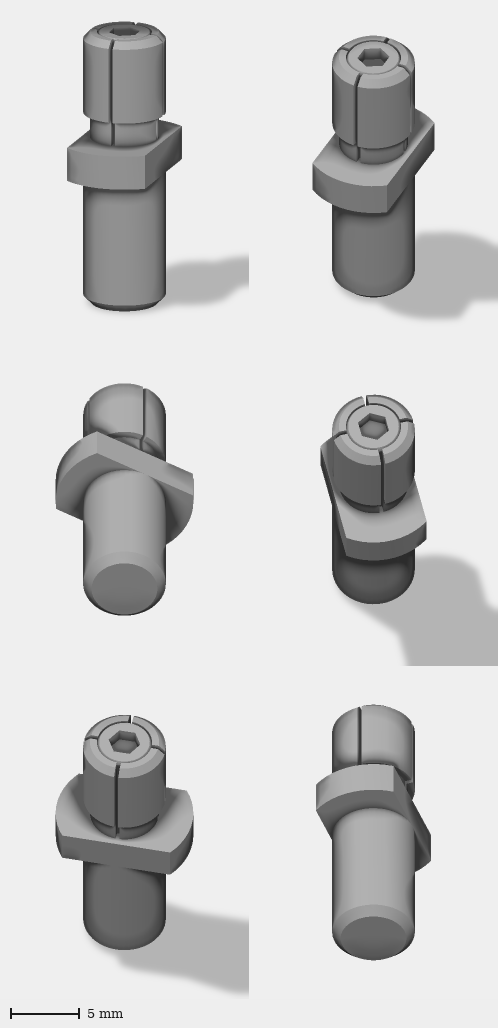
import cadquery as cq
import math

total_height = 20.5
flange_bottom = 10.0
flange_thickness = 2.5
neck_height = 1.9
flange_top = flange_bottom + flange_thickness
head_bottom = flange_top + neck_height

body_diameter = 6.0
neck_diameter = 5.0
flange_diameter = 10.0

head_chamfer = 0.5
shank_chamfer_height = 0.62
shank_chamfer_width = 0.62

slot_width = 0.3
screw_diameter = 4.0
screw_chamfer_height = 0.27
screw_chamfer_width = 0.16
hex_across_flats = 2.03
hex_depth = 1.0


def cylinder(diameter, bottom, top):
    return cq.Workplane("XY").workplane(offset=bottom).circle(diameter / 2).extrude(top - bottom)


def make_shank():
    shank = cylinder(body_diameter, 0, flange_bottom)
    return shank.faces("<Z").chamfer(shank_chamfer_height, shank_chamfer_width)


def make_flange():
    """Disc trimmed by two flats level with the sides of the body."""
    flats = cq.Workplane("XY").box(body_diameter, flange_diameter, total_height, centered=(True, True, False))
    return cylinder(flange_diameter, flange_bottom, flange_top).intersect(flats)


def make_collet():
    """Head and narrower neck, split by four radial slots and bored for the screw."""
    head = cylinder(body_diameter, head_bottom, total_height).faces(">Z").chamfer(head_chamfer)
    collet = cylinder(neck_diameter, flange_top, head_bottom).union(head)
    for angle in (0, 90):
        slot = (
            cq.Workplane("XY")
            .workplane(offset=flange_top)
            .rect(body_diameter, slot_width)
            .extrude(total_height - flange_top)
            .rotate((0, 0, 0), (0, 0, 1), angle)
        )
        collet = collet.cut(slot)
    return collet.cut(cylinder(screw_diameter, flange_top, total_height))


def make_screw():
    """Chamfered screw flush with the head, with a hexagonal socket."""
    screw = cylinder(screw_diameter, flange_top, total_height)
    screw = screw.faces(">Z").chamfer(screw_chamfer_height, screw_chamfer_width)
    socket = (
        cq.Workplane("XY")
        .workplane(offset=total_height - hex_depth)
        .polygon(6, hex_across_flats / math.cos(math.pi / 6))
        .extrude(hex_depth)
        .rotate((0, 0, 0), (0, 0, 1), 30)
    )
    return screw.cut(socket)


result = make_shank().union(make_flange()).union(make_collet()).union(make_screw())